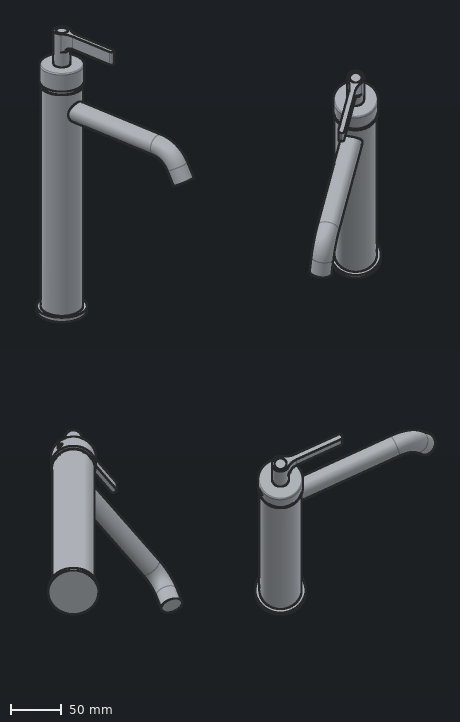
import cadquery as cq
import math

TOTAL_HEIGHT = 314.0

FLANGE_DIAMETER = 50.0
FLANGE_HEIGHT = 5.0

COLUMN_RADIUS = 21.0
COLUMN_TOP = 252.5
NECK_BOTTOM_RADIUS = 19.8
NECK_TOP_RADIUS = 19.2

SPOUT_RADIUS = 11.0
SPOUT_AXIS_Z = 230.0
SPOUT_STRAIGHT_END = 126.0
SPOUT_BEND_RADIUS = 29.8
SPOUT_BEND_ANGLE = 60.0
SPOUT_TIP_LENGTH = 16.3

CAP_RADIUS = 22.3
CAP_BOTTOM = 257.2
CAP_TOP = 277.0
CAP_ROUND = 1.3
STEM_RADIUS = 8.5
LEVER_WIDTH = 6.0
LEVER_HEIGHT = 14.5
LEVER_END = 67.8
LEVER_CORNER_RADIUS = 2.35
LEVER_FLARE_RADIUS = 19.0
LEVER_UNDERSIDE_RADIUS = 5.5
TOP_RECESS_RADIUS = 6.0
TOP_RECESS_DEPTH = 0.3

BUTTON_RADIUS = 3.0
BUTTON_PROTRUSION = 0.5
BUTTON_ROUND = 1.3
BUTTON_DEPTH = 4.7
BUTTON_AXIS_Z = 266.0


def make_flange():
    """Round plate under the column."""
    return cq.Workplane("XY").circle(FLANGE_DIAMETER / 2).extrude(FLANGE_HEIGHT)


def make_spout():
    """Round bar that leaves the column axis along +X and bends down at its end."""
    bend = math.radians(SPOUT_BEND_ANGLE)
    half_bend = bend / 2

    def bend_point(angle):
        x = SPOUT_STRAIGHT_END + SPOUT_BEND_RADIUS * math.sin(angle)
        z = SPOUT_AXIS_Z - SPOUT_BEND_RADIUS * (1 - math.cos(angle))
        return x, z

    bend_end_x, bend_end_z = bend_point(bend)
    tip = (
        bend_end_x + SPOUT_TIP_LENGTH * math.cos(bend),
        bend_end_z - SPOUT_TIP_LENGTH * math.sin(bend),
    )
    path = (
        cq.Workplane("XZ")
        .moveTo(0, SPOUT_AXIS_Z)
        .lineTo(SPOUT_STRAIGHT_END, SPOUT_AXIS_Z)
        .threePointArc(bend_point(half_bend), bend_point(bend))
        .lineTo(*tip)
    )
    section = cq.Workplane("YZ").center(0, SPOUT_AXIS_Z).circle(SPOUT_RADIUS)
    return section.sweep(path)


def make_body():
    """Column with its tapered neck, joined to the spout."""
    column = (
        cq.Workplane("XZ")
        .moveTo(0, FLANGE_HEIGHT)
        .lineTo(COLUMN_RADIUS, FLANGE_HEIGHT)
        .lineTo(COLUMN_RADIUS, COLUMN_TOP)
        .lineTo(NECK_BOTTOM_RADIUS, COLUMN_TOP)
        .lineTo(NECK_TOP_RADIUS, CAP_BOTTOM)
        .lineTo(0, CAP_BOTTOM)
        .close()
        .revolve(360, (0, 0, 0), (0, 1, 0))
    )
    return column.union(make_spout())


def make_lever():
    """Flat lever that flares into the stem and has a rounded inner corner below."""
    half_width = LEVER_WIDTH / 2
    flare_y = half_width + LEVER_FLARE_RADIUS
    centre_distance = STEM_RADIUS + LEVER_FLARE_RADIUS
    flare_x = math.sqrt(centre_distance**2 - flare_y**2)
    touch_x = flare_x * STEM_RADIUS / centre_distance
    touch_y = flare_y * STEM_RADIUS / centre_distance
    middle_angle = (math.atan2(touch_y - flare_y, touch_x - flare_x) - math.pi / 2) / 2
    middle_x = flare_x + LEVER_FLARE_RADIUS * math.cos(middle_angle)
    middle_y = flare_y + LEVER_FLARE_RADIUS * math.sin(middle_angle)

    underside_z = TOTAL_HEIGHT - LEVER_HEIGHT
    lowest_z = underside_z - LEVER_UNDERSIDE_RADIUS
    plan = (
        cq.Workplane("XY", origin=(0, 0, lowest_z))
        .lineTo(touch_x, touch_y)
        .threePointArc((middle_x, middle_y), (flare_x, half_width))
        .lineTo(LEVER_END, half_width)
        .lineTo(LEVER_END, -half_width)
        .lineTo(flare_x, -half_width)
        .threePointArc((middle_x, -middle_y), (touch_x, -touch_y))
        .close()
        .extrude(TOTAL_HEIGHT - lowest_z)
        .edges("|Z and >X")
        .fillet(LEVER_CORNER_RADIUS)
    )
    underside = (
        cq.Workplane("XZ")
        .moveTo(STEM_RADIUS, lowest_z)
        .radiusArc((STEM_RADIUS + LEVER_UNDERSIDE_RADIUS, underside_z), LEVER_UNDERSIDE_RADIUS)
        .lineTo(LEVER_END, underside_z)
        .lineTo(LEVER_END, lowest_z)
        .close()
        .extrude(STEM_RADIUS, both=True)
    )
    return plan.cut(underside)


def make_handle(button):
    """Cap, stem and lever in one piece, with a shallow top recess and a pocket for the button."""
    cap = (
        cq.Workplane("XY", origin=(0, 0, CAP_BOTTOM))
        .circle(CAP_RADIUS)
        .extrude(CAP_TOP - CAP_BOTTOM)
        .edges(">Z")
        .fillet(CAP_ROUND)
    )
    stem = (
        cq.Workplane("XY", origin=(0, 0, CAP_TOP))
        .circle(STEM_RADIUS)
        .extrude(TOTAL_HEIGHT - CAP_TOP)
    )
    top_recess = (
        cq.Workplane("XY", origin=(0, 0, TOTAL_HEIGHT))
        .circle(TOP_RECESS_RADIUS)
        .extrude(-TOP_RECESS_DEPTH)
    )
    return cap.union(stem).union(make_lever()).cut(top_recess).cut(button)


def make_button():
    """Round button lying along X, standing slightly out of the cap."""
    return (
        cq.Workplane("YZ", origin=(-CAP_RADIUS - BUTTON_PROTRUSION, 0, BUTTON_AXIS_Z))
        .circle(BUTTON_RADIUS)
        .extrude(BUTTON_PROTRUSION + BUTTON_DEPTH)
        .edges("<X")
        .fillet(BUTTON_ROUND)
    )


flange = make_flange()
body = make_body()
button = make_button()
handle = make_handle(button)

result = cq.Compound.makeCompound([
    flange.val(),
    body.solids().val(),
    handle.solids().val(),
    button.solids().val(),
])